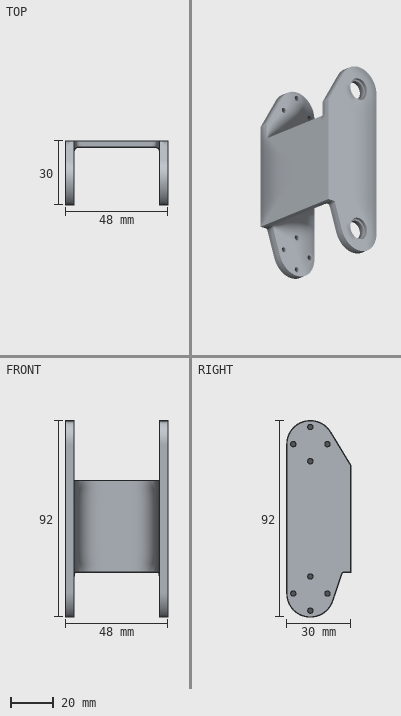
import cadquery as cq
import math

width = 48.0
depth = 30.0
height = 92.0

plate_thickness = 4.05
end_radius = 11.0
back_edge_half = 25.0
ledge_depth = 4.0
ledge_fillet = 1.0

web_thickness = 3.0
web_top = 18.0
web_fillet = 2.0

bore_diameter = 8.5
seat_diameter = 10.5
seat_depth = 1.5

screw_diameter = 2.5
screw_circle_radius = 8.0
screw_count = 4

front = -depth / 2
back = depth / 2
pivot_y = front + end_radius
pivot_z = height / 2 - end_radius
inner_width = width - 2 * plate_thickness
left_face = -width / 2
right_inner_face = inner_width / 2


def tangent_point(y, z, center_z):
    """Back-side point where a line from (y, z) touches the end circle at center_z."""
    dy = y - pivot_y
    dz = z - center_z
    toward_point = math.atan2(dz, dy)
    swing = math.acos(end_radius / math.hypot(dy, dz))
    angle = toward_point + math.copysign(swing, center_z)
    return (pivot_y + end_radius * math.cos(angle), center_z + end_radius * math.sin(angle))


def make_side_block():
    """Side outline carried across the full width."""
    ledge_corner = (back - ledge_depth, -back_edge_half)
    upper_tangent = tangent_point(back, back_edge_half, pivot_z)
    lower_tangent = tangent_point(*ledge_corner, -pivot_z)
    block = (
        cq.Workplane("YZ", origin=(left_face, 0, 0))
        .moveTo(front, -pivot_z)
        .lineTo(front, pivot_z)
        .threePointArc((pivot_y, height / 2), upper_tangent)
        .lineTo(back, back_edge_half)
        .lineTo(back, -back_edge_half)
        .lineTo(*ledge_corner)
        .lineTo(*lower_tangent)
        .threePointArc((pivot_y, -height / 2), (front, -pivot_z))
        .close()
        .extrude(width)
    )
    corner_edge = cq.selectors.NearestToPointSelector((0, *ledge_corner))
    return block.edges(corner_edge).fillet(ledge_fillet)


def make_channel():
    """Space between the plates in front of the web, rounded where they meet."""
    channel_depth = depth - web_thickness
    return (
        cq.Workplane("XY")
        .box(inner_width, channel_depth, height)
        .edges("|Z and >Y")
        .fillet(web_fillet)
        .translate((0, -web_thickness / 2, 0))
    )


def make_gap_above_web():
    return (
        cq.Workplane("XY", origin=(0, 0, web_top))
        .rect(inner_width, depth)
        .extrude(height / 2 - web_top)
    )


def make_bearing_seat(center_z):
    """Stepped hole through the left plate, its wide step at the outer face."""
    plane = cq.Workplane("YZ", origin=(left_face, pivot_y, center_z))
    bore = plane.circle(bore_diameter / 2).extrude(plate_thickness)
    seat = plane.circle(seat_diameter / 2).extrude(seat_depth)
    return bore.union(seat)


def make_screw_holes(center_z):
    """Ring of holes through the right plate, in line with a bearing seat."""
    return (
        cq.Workplane("YZ", origin=(right_inner_face, pivot_y, center_z))
        .polarArray(screw_circle_radius, 0, 360, screw_count)
        .circle(screw_diameter / 2)
        .extrude(plate_thickness)
    )


result = make_side_block().cut(make_channel()).cut(make_gap_above_web())
for center_z in (-pivot_z, pivot_z):
    result = result.cut(make_bearing_seat(center_z)).cut(make_screw_holes(center_z))